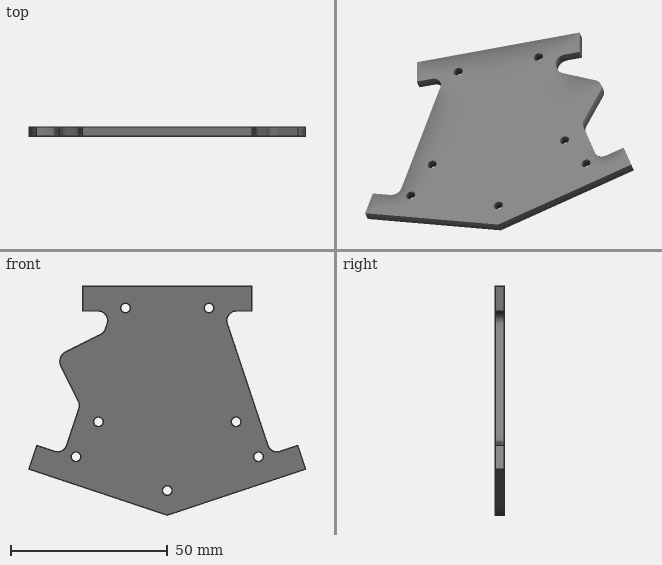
import cadquery as cq
import math

plate_width = 88.24
plate_height = 73.05
plate_thickness = 3.0

top_tab_width = 54.0
tab_depth = 8.0
tab_inner_length = 9.0

lower_edge_angle = math.atan(1 / 3)
wing_angle = math.radians(45) - lower_edge_angle
wing_corner = (-35.46, 50.57)

tab_root_radius = 3.0
wing_corner_radius = 3.5
wing_root_radius = 3.0

hole_diameter = 3.0
tip_hole_height = 7.9
hole_pairs = [(13.3, 66.05), (21.94, 29.8), (29.07, 18.65)]


def step(point, angle, distance):
    """Point reached from `point` after `distance` in the direction `angle`."""
    x, z = point
    return (x + distance * math.cos(angle), z + distance * math.sin(angle))


def mirrored(point):
    """Point reflected across the centre line."""
    x, z = point
    return (-x, z)


def crossing(point_a, angle_a, point_b, angle_b):
    """Intersection of two lines, each given by a point and a direction."""
    dx = point_b[0] - point_a[0]
    dz = point_b[1] - point_a[1]
    distance = (dx * math.sin(angle_b) - dz * math.cos(angle_b)) / math.sin(angle_b - angle_a)
    return step(point_a, angle_a, distance)


tip = (0, 0)
right_end = (plate_width / 2, plate_width / 2 * math.tan(lower_edge_angle))
side_angle = lower_edge_angle + math.pi / 2
right_tab_top = step(right_end, side_angle, tab_depth)
right_tab_root = step(right_tab_top, lower_edge_angle, -tab_inner_length)
top_tab_bottom = plate_height - tab_depth
top_tab_root = crossing(right_tab_root, side_angle, (0, top_tab_bottom), 0)
top_tab_lower_end = (top_tab_width / 2, top_tab_bottom)
top_tab_upper_end = (top_tab_width / 2, plate_height)

left_tab_root = mirrored(right_tab_root)
left_side_angle = math.pi - side_angle
wing_upper_root = crossing(wing_corner, wing_angle, left_tab_root, left_side_angle)
wing_lower_root = crossing(wing_corner, wing_angle - math.pi / 2, left_tab_root, left_side_angle)


def plate_blank():
    """Plate with sharp corners, centred on Y = 0."""
    outline = [
        tip,
        right_end,
        right_tab_top,
        right_tab_root,
        top_tab_root,
        top_tab_lower_end,
        top_tab_upper_end,
        mirrored(top_tab_upper_end),
        mirrored(top_tab_lower_end),
        mirrored(top_tab_root),
        wing_upper_root,
        wing_corner,
        wing_lower_root,
        left_tab_root,
        mirrored(right_tab_top),
        mirrored(right_end),
    ]
    return cq.Workplane("XZ").polyline(outline).close().extrude(plate_thickness / 2, both=True)


def round_corners(plate, corners, radius):
    """Round the edges that run through the plate at the given corners."""
    for x, z in corners:
        plate = plate.edges(cq.selectors.NearestToPointSelector((x, 0, z))).fillet(radius)
    return plate


def drill_holes(plate):
    """Drill the screw holes through the plate."""
    positions = [(0, tip_hole_height)]
    for position in hole_pairs:
        positions += [position, mirrored(position)]
    drills = (
        cq.Workplane("XZ")
        .pushPoints(positions)
        .circle(hole_diameter / 2)
        .extrude(plate_thickness, both=True)
    )
    return plate.cut(drills)


plate = plate_blank()
tab_roots = [right_tab_root, left_tab_root, top_tab_root, mirrored(top_tab_root)]
plate = round_corners(plate, tab_roots, tab_root_radius)
plate = round_corners(plate, [wing_corner], wing_corner_radius)
plate = round_corners(plate, [wing_upper_root, wing_lower_root], wing_root_radius)
result = drill_holes(plate)